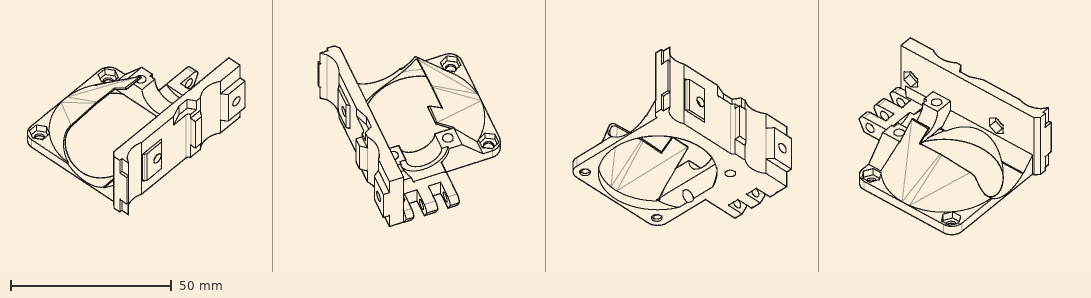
import cadquery as cq
import math

BASE_DEPTH = 40.0
BASE_HEIGHT = 3.5
BASE_CORNER_RADIUS = 4.0
FAN_X = 19.65
FAN_Y = BASE_DEPTH / 2
FAN_SCREW_SPACING = 32.0
FAN_BORE_RADIUS = 18.5

SCREW_RADIUS = 1.65
NUT_ACROSS_CORNERS = 6.4
FAN_NUT_DEPTH = 2.6
PLATE_NUT_DEPTH = 3.0

PLATE_X = 38.87
PLATE_BACK_X = 42.7
PLATE_SHELF_X = 43.6
PLATE_OUTER_X = 45.65
PLATE_FRONT_Y = -2.0
PLATE_REAR_Y = 53.0
PLATE_HEIGHT = 23.78
PLATE_CORNER_CHAMFER = 1.4
PLATE_MARGIN = 5.8
FRONT_NOTCH_DEPTH = 0.95
BEARING_Y = (5.1, 39.1)
BEARING_RADIUS = 7.8
BEARING_FLOOR_X = 42.07
BEARING_FLARE = 1.65
CENTER_RIB_Y = 29.9
CENTER_RIB_FILLET = 1.1
TAB_Y = (9.5, 16.4)
CABLE_RECESS_DEPTH = 4.0
CABLE_RECESS_X = 41.05
CABLE_RECESS_Y = (23.0, 32.7)
CABLE_RECESS_FLOOR_Y = (27.3, 31.2)
PLATE_SCREW_Y = (14.6, 49.0)

CLAMP_X = 26.5
CLAMP_Z = 11.9
CLAMP_FRONT_Y = 33.0
CLAMP_LEFT_TOP_X = 14.1
CLAMP_LEFT_FOOT_X = 7.1
CLAMP_RADIUS = 6.0
GROOVE_RADIUS = 8.0
GROOVE_FRONT_Y = 39.0
GROOVE_REAR_Y = 43.7
CLEARANCE_RADIUS = 11.25
CLAMP_SCREW_X = (17.25, 35.65)
CLAMP_SCREW_Y = 36.0
CLAMP_UNDERSIDE_Z = 4.0

HINGE_X = 20.96
HINGE_HEIGHT = 6.0
HINGE_SLOT_Y = 47.0
HINGE_TIP_Y = 55.13
HINGE_ROUND = 2.0
HINGE_PIN_Y = 50.8
HINGE_PIN_Z = 3.0
HINGE_SLOTS = ((24.06, 28.2), (31.97, 36.2))

GUSSET_TOP_Z = 8.0
GUSSET_REAR_Y = 51.2

DUCT_OUTER_RADIUS = 19.6
DUCT_EDGE = ((2.2, 16.7), (17.0, 17.9), (CLAMP_FRONT_Y, 17.45))
DUCT_EDGE_X = 19.75
DUCT_WALL_SHIFT = 0.9
DUCT_LIP_X = 20.2
DUCT_LIP_BOTTOM_Z = 17.0
DUCT_TOP_Z = 17.45
DUCT_FLAP_FRONT_Y = 26.2

OVERSHOOT = 1.0
BASE_BACK_X = PLATE_X + OVERSHOOT


def block(x_range, y_range, z_range):
    size = [high - low for low, high in (x_range, y_range, z_range)]
    return cq.Workplane("XY").box(*size, centered=False).translate(
        (x_range[0], y_range[0], z_range[0]))


def fan_cylinder(radius, height):
    """Upright cylinder on the fan axis."""
    return cq.Workplane("XY").center(FAN_X, FAN_Y).circle(radius).extrude(height)


def cylinder_along_y(radius, y_range):
    """Cylinder on the clamp axis."""
    return (cq.Workplane("XZ", origin=(CLAMP_X, y_range[0], CLAMP_Z))
            .circle(radius).extrude(y_range[0] - y_range[1]))


def prism_along_y(points, y_range):
    """Extrude an (x, z) outline over a range of y."""
    return (cq.Workplane("XZ", origin=(0, y_range[0], 0))
            .polyline(points).close().extrude(y_range[0] - y_range[1]))


def upright_prism(points, z_range):
    """Extrude an (x, y) outline over a range of z."""
    return (cq.Workplane("XY", origin=(0, 0, z_range[0]))
            .polyline(points).close().extrude(z_range[1] - z_range[0]))


def tetrahedron(corners):
    vertices = [cq.Vector(*corner) for corner in corners]
    faces = []
    for skipped in range(4):
        triangle = vertices[:skipped] + vertices[skipped + 1:]
        faces.append(cq.Face.makeFromWires(cq.Wire.makePolygon(triangle, close=True)))
    return cq.Workplane(cq.Solid.makeSolid(cq.Shell.makeShell(faces)).fix())


def fan_base():
    base = block((0, BASE_BACK_X), (0, BASE_DEPTH), (0, BASE_HEIGHT))
    return base.edges("|Z and <X").fillet(BASE_CORNER_RADIUS)


def fan_screw_cuts():
    screw_x = FAN_X - FAN_SCREW_SPACING / 2
    places = [(screw_x, FAN_Y + side * FAN_SCREW_SPACING / 2) for side in (-1, 1)]
    holes = cq.Workplane("XY").pushPoints(places).circle(SCREW_RADIUS).extrude(BASE_HEIGHT)
    nuts = cq.Workplane("XY")
    for x, y in places:
        nut = (cq.Workplane("XY").polygon(6, NUT_ACROSS_CORNERS)
               .extrude(FAN_NUT_DEPTH + OVERSHOOT)
               .rotate((0, 0, 0), (0, 0, 1), 90)
               .translate((x, y, BASE_HEIGHT - FAN_NUT_DEPTH)))
        nuts = nuts.add(nut)
    return holes.union(nuts.combine())


def fan_bore():
    """Bore through base and right-hand gusset, in front of the clamp."""
    bore = fan_cylinder(FAN_BORE_RADIUS, GUSSET_TOP_Z)
    base_part = block((0, PLATE_X), (0, CLAMP_FRONT_Y), (0, BASE_HEIGHT))
    gusset_part = block((FAN_X, PLATE_X), (0, CLAMP_FRONT_Y), (0, GUSSET_TOP_Z))
    return bore.intersect(base_part.union(gusset_part))


def bearing_seat(y):
    """Round seat for a linear bearing, flared out to the outer back face."""
    center_x = BEARING_FLOOR_X + BEARING_RADIUS
    half_width = math.sqrt(BEARING_RADIUS ** 2 - (center_x - PLATE_SHELF_X) ** 2)
    outer_half_width = half_width + BEARING_FLARE
    return (cq.Workplane("XY")
            .moveTo(PLATE_SHELF_X, y - half_width)
            .threePointArc((BEARING_FLOOR_X, y), (PLATE_SHELF_X, y + half_width))
            .lineTo(PLATE_OUTER_X, y + outer_half_width)
            .lineTo(PLATE_OUTER_X + OVERSHOOT, y + outer_half_width)
            .lineTo(PLATE_OUTER_X + OVERSHOOT, y - outer_half_width)
            .lineTo(PLATE_OUTER_X, y - outer_half_width)
            .close().extrude(PLATE_HEIGHT))


def carriage_plate():
    band = (PLATE_MARGIN, PLATE_HEIGHT - PLATE_MARGIN)
    margins = ((0, band[0]), (band[1], PLATE_HEIGHT))
    full = (0, PLATE_HEIGHT)
    outer = (PLATE_X, PLATE_OUTER_X)
    front_bearing_y = BEARING_Y[0]

    plate = block(outer, (PLATE_FRONT_Y, PLATE_REAR_Y), full)
    plate = plate.edges("|Z and <X and <Y").chamfer(PLATE_CORNER_CHAMFER)

    relief = block((PLATE_BACK_X, PLATE_OUTER_X + OVERSHOOT), (front_bearing_y, CENTER_RIB_Y), full)
    relief = relief.edges("|Z and <X and >Y").fillet(CENTER_RIB_FILLET)
    tab_rise = PLATE_SHELF_X - PLATE_BACK_X
    tab = upright_prism([(PLATE_BACK_X, TAB_Y[0] - tab_rise), (PLATE_SHELF_X, TAB_Y[0]),
                         (PLATE_SHELF_X, TAB_Y[1]), (PLATE_BACK_X, TAB_Y[1] + tab_rise)], band)
    plate = plate.cut(relief.cut(tab))
    for y in BEARING_Y:
        plate = plate.cut(bearing_seat(y))

    for margin in margins:
        shelf = block((PLATE_SHELF_X, PLATE_OUTER_X), (CENTER_RIB_Y - OVERSHOOT, PLATE_REAR_Y), margin)
        notch = block((PLATE_BACK_X, PLATE_OUTER_X),
                      (PLATE_FRONT_Y, PLATE_FRONT_Y + FRONT_NOTCH_DEPTH), margin)
        plate = plate.cut(shelf).cut(notch)
    return plate.cut(cable_recess())


def cable_recess():
    """Shallow recess in the top margin beside the rear bearing."""
    start_y, end_y = CABLE_RECESS_Y
    floor_start_y, floor_end_y = CABLE_RECESS_FLOOR_Y
    outline = [(PLATE_BACK_X, start_y), (CABLE_RECESS_X, floor_start_y),
               (CABLE_RECESS_X, floor_end_y), (PLATE_SHELF_X, end_y), (PLATE_SHELF_X, start_y)]
    return upright_prism(outline, (PLATE_HEIGHT - CABLE_RECESS_DEPTH, PLATE_HEIGHT))


def plate_screw_cuts():
    cuts = cq.Workplane("XY")
    for y in PLATE_SCREW_Y:
        plane = cq.Workplane("YZ", origin=(PLATE_X, y, CLAMP_Z))
        cuts = cuts.add(plane.circle(SCREW_RADIUS).extrude(PLATE_OUTER_X - PLATE_X))
        nut = (plane.transformed(rotate=(0, 0, 90))
               .polygon(6, NUT_ACROSS_CORNERS).extrude(PLATE_NUT_DEPTH))
        cuts = cuts.add(nut)
    return cuts.combine()


def clamp_block():
    return prism_along_y([(CLAMP_LEFT_FOOT_X, BASE_HEIGHT), (CLAMP_LEFT_TOP_X, CLAMP_Z),
                          (BASE_BACK_X, CLAMP_Z), (BASE_BACK_X, 0), (CLAMP_LEFT_FOOT_X, 0)],
                         (CLAMP_FRONT_Y, BASE_DEPTH))


def hinge():
    round_start_y = HINGE_TIP_Y - HINGE_ROUND
    round_mid_offset = HINGE_ROUND * math.sqrt(0.5)
    round_center_z = HINGE_HEIGHT - HINGE_ROUND
    profile = (cq.Workplane("YZ", origin=(HINGE_X, 0, 0))
               .moveTo(BASE_DEPTH - OVERSHOOT, 0)
               .lineTo(round_start_y, 0)
               .lineTo(HINGE_TIP_Y, round_center_z)
               .threePointArc((round_start_y + round_mid_offset, round_center_z + round_mid_offset),
                              (round_start_y, HINGE_HEIGHT))
               .lineTo(BASE_DEPTH - OVERSHOOT, HINGE_HEIGHT)
               .close())
    body = profile.extrude(PLATE_X - HINGE_X)
    for slot in HINGE_SLOTS:
        body = body.cut(block(slot, (HINGE_SLOT_Y, HINGE_TIP_Y), (0, HINGE_HEIGHT)))
    pin = (cq.Workplane("YZ", origin=(HINGE_X, HINGE_PIN_Y, HINGE_PIN_Z))
           .circle(SCREW_RADIUS).extrude(PLATE_X - HINGE_X))
    return body.cut(pin)


def front_gusset():
    """45 degree gusset along the plate in front of the clamp."""
    foot_x = PLATE_X - (GUSSET_TOP_Z - BASE_HEIGHT)
    return prism_along_y([(foot_x, BASE_HEIGHT), (PLATE_X, GUSSET_TOP_Z),
                          (BASE_BACK_X, GUSSET_TOP_Z), (BASE_BACK_X, 0), (foot_x, 0)],
                         (0, CLAMP_FRONT_Y + OVERSHOOT))


def hinge_gussets():
    """45 degree gussets from the hinge top up to the plate and up to the clamp."""
    rise = GUSSET_TOP_Z - HINGE_HEIGHT
    along_plate = prism_along_y([(PLATE_X - rise, HINGE_HEIGHT), (PLATE_X, GUSSET_TOP_Z),
                                 (PLATE_X, HINGE_HEIGHT)], (BASE_DEPTH, GUSSET_REAR_Y))
    corner = upright_prism([(PLATE_X, GUSSET_REAR_Y), (PLATE_X - rise, GUSSET_REAR_Y),
                            (PLATE_X - rise, GUSSET_REAR_Y - rise)], (HINGE_HEIGHT, GUSSET_TOP_Z))
    along_clamp = (cq.Workplane("YZ", origin=(CLAMP_X, 0, 0))
                   .polyline([(BASE_DEPTH, HINGE_HEIGHT), (BASE_DEPTH + rise, HINGE_HEIGHT),
                              (BASE_DEPTH, GUSSET_TOP_Z)])
                   .close().extrude(PLATE_X - CLAMP_X))
    return along_plate.cut(corner).union(along_clamp)


def clamp_undercut():
    """Fan bore and heatsink channel run on below the 45 degree underside of the clamp."""
    wedge = (cq.Workplane("YZ")
             .polyline([(CLAMP_FRONT_Y, 0), (CLAMP_FRONT_Y, CLAMP_UNDERSIDE_Z),
                        (CLAMP_FRONT_Y + CLAMP_UNDERSIDE_Z, 0)])
             .close().extrude(PLATE_X))
    channel = cylinder_along_y(CLEARANCE_RADIUS, (CLAMP_FRONT_Y, BASE_DEPTH))
    bore = fan_cylinder(FAN_BORE_RADIUS, CLAMP_UNDERSIDE_Z)
    return wedge.intersect(channel.union(bore))


def clamp_cuts():
    seat = cylinder_along_y(CLAMP_RADIUS, (CLAMP_FRONT_Y - OVERSHOOT, BASE_DEPTH))
    groove = cylinder_along_y(GROOVE_RADIUS, (GROOVE_FRONT_Y, GROOVE_REAR_Y))
    screws = (cq.Workplane("XY").pushPoints([(x, CLAMP_SCREW_Y) for x in CLAMP_SCREW_X])
              .circle(SCREW_RADIUS).extrude(CLAMP_Z))
    return seat.union(groove).union(screws)


def tangent_foot(radius, first, second):
    """Left point of the fan circle where the plane through two outlet points touches it."""
    edge_x, first_y, first_z = first
    slope = (second[2] - first_z) / (second[1] - first_y)
    meet_y = first_y + (BASE_HEIGHT - first_z) / slope
    offset_x = edge_x - FAN_X
    offset_y = meet_y - FAN_Y
    direction = math.atan2(offset_y, offset_x)
    swing = math.acos(radius / math.hypot(offset_x, offset_y))
    angle = direction + math.copysign(swing, offset_y)
    return (FAN_X + radius * math.cos(angle), FAN_Y + radius * math.sin(angle), BASE_HEIGHT)


def duct_hull(radius, edge_x):
    """Left-hand hull of the fan circle and the bent outlet edge."""
    up = cq.Vector(0, 0, 1)
    peaks = [(edge_x, y, z) for y, z in DUCT_EDGE]
    right_side = (FAN_X + radius, FAN_Y, BASE_HEIGHT)
    foot = cq.Wire.makeCircle(radius, cq.Vector(FAN_X, FAN_Y, BASE_HEIGHT), up)
    hull = fan_cylinder(radius, BASE_HEIGHT)
    for peak in peaks:
        cone = cq.occ_impl.shapes.loft(foot, cq.Vertex.makeVertex(*peak), cap=True, ruled=True)
        hull = hull.union(cq.Workplane(cone))
    for first, second in zip(peaks, peaks[1:]):
        hull = hull.union(tetrahedron([first, second, tangent_foot(radius, first, second), right_side]))
    return hull


def heatsink_clearance():
    """Round channel ahead of the clamp, open upwards in front of the duct flap."""
    channel = cylinder_along_y(CLEARANCE_RADIUS, (PLATE_FRONT_Y, CLAMP_FRONT_Y))
    channel = channel.intersect(block((0, PLATE_X), (PLATE_FRONT_Y, CLAMP_FRONT_Y), (0, CLAMP_Z)))
    opening = block((CLAMP_X - CLEARANCE_RADIUS, CLAMP_X + CLEARANCE_RADIUS),
                    (PLATE_FRONT_Y, DUCT_FLAP_FRONT_Y), (CLAMP_Z, PLATE_HEIGHT))
    return channel.union(opening)


def air_duct():
    """Duct shell with a blunt lip, trimmed at the outlet and at the clamp front face."""
    outer = duct_hull(DUCT_OUTER_RADIUS, DUCT_EDGE_X)
    inner = duct_hull(FAN_BORE_RADIUS, DUCT_EDGE_X + DUCT_WALL_SHIFT)
    keep = block((0, DUCT_LIP_X), (0, BASE_DEPTH), (BASE_HEIGHT, DUCT_TOP_Z))
    behind_flap = block((CLAMP_LEFT_TOP_X, DUCT_LIP_X),
                        (CLAMP_FRONT_Y, BASE_DEPTH), (CLAMP_Z, PLATE_HEIGHT))
    lip_reach = DUCT_LIP_X - DUCT_EDGE_X
    lip = prism_along_y([(DUCT_EDGE_X, DUCT_TOP_Z), (DUCT_LIP_X, DUCT_TOP_Z),
                         (DUCT_LIP_X, DUCT_LIP_BOTTOM_Z),
                         (DUCT_EDGE_X - lip_reach, DUCT_LIP_BOTTOM_Z - lip_reach)],
                        (DUCT_FLAP_FRONT_Y, CLAMP_FRONT_Y))
    return outer.intersect(keep).cut(behind_flap).cut(inner).union(lip.cut(inner))


body = fan_base().union(front_gusset())
body = body.union(air_duct())
body = body.cut(heatsink_clearance()).cut(fan_bore())
body = body.union(clamp_block()).cut(clamp_undercut()).cut(fan_screw_cuts())
body = body.union(hinge()).union(hinge_gussets()).cut(clamp_cuts())
result = body.union(carriage_plate()).cut(plate_screw_cuts())